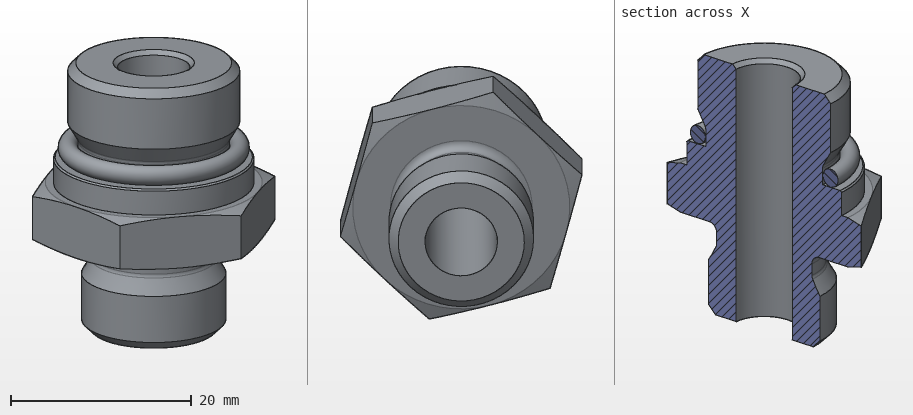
import cadquery as cq
import math

TOTAL_HEIGHT = 31.0
LOWER_CHAMFER_TOP = 1.02
LOWER_THREAD_TOP = 6.42
HEX_BOTTOM = 11.0
HEX_HEIGHT = 6.0
HEX_TOP = HEX_BOTTOM + HEX_HEIGHT
COLLAR_TOP = 20.0
UPPER_THREAD_BOTTOM = 24.18
UPPER_CHAMFER_HEIGHT = 0.93

LOWER_END_RADIUS = 6.98
LOWER_THREAD_RADIUS = 16.0 / 2
LOWER_NECK_RADIUS = 13.7 / 2
COLLAR_RADIUS = 22.2 / 2
SEAL_GROOVE_RADIUS = 16.77 / 2
UPPER_THREAD_RADIUS = 19.05 / 2
UPPER_END_RADIUS = 8.62

CONE_HALF_ANGLE = math.radians(30)
CONE_BLEND_RADIUS = 0.8

NECK_FILLET = 1.0
COLLAR_CHAMFER = 0.2

HEX_ACROSS_FLATS = 24.0
HEX_CORNER_RADIUS = HEX_ACROSS_FLATS / math.sqrt(3)
HEX_CHAMFER_ANGLE = 15.0
HEX_TURN = 30.0

BORE_RADIUS = 8.0 / 2
BORE_CHAMFER = 0.5

RING_SECTION_RADIUS = 2.2 / 2
RING_CENTRE_RADIUS = SEAL_GROOVE_RADIUS + RING_SECTION_RADIUS
RING_CENTRE_HEIGHT = COLLAR_TOP + RING_SECTION_RADIUS


def revolve_about_z(profile):
    """Revolve a closed (radius, height) profile drawn on the XZ plane."""
    return profile.revolve(360, (0, 0, 0), (0, 1, 0))


def cone_blend_points(thread_radius, neck_radius, thread_height, direction):
    """Start, middle and end of the blend arc, running from the cone to the neck.

    The cone leaves the thread at thread_height; direction is +1 when the neck is above
    the thread and -1 when it is below.
    """
    cone_height = (thread_radius - neck_radius) / math.tan(CONE_HALF_ANGLE)
    tangent_length = CONE_BLEND_RADIUS * math.tan(CONE_HALF_ANGLE / 2)
    arc_end_height = thread_height + direction * (cone_height + tangent_length)
    centre_radius = neck_radius + CONE_BLEND_RADIUS
    return [
        (
            centre_radius - CONE_BLEND_RADIUS * math.cos(angle),
            arc_end_height - direction * CONE_BLEND_RADIUS * math.sin(angle),
        )
        for angle in (CONE_HALF_ANGLE, CONE_HALF_ANGLE / 2, 0)
    ]


def make_lower_stud():
    blend_start, blend_middle, blend_end = cone_blend_points(
        LOWER_THREAD_RADIUS, LOWER_NECK_RADIUS, LOWER_THREAD_TOP, 1
    )
    fillet_start = HEX_BOTTOM - NECK_FILLET
    fillet_centre_radius = LOWER_NECK_RADIUS + NECK_FILLET
    arc_offset = NECK_FILLET * math.cos(math.radians(45))
    profile = (
        cq.Workplane("XZ")
        .moveTo(0, 0)
        .lineTo(LOWER_END_RADIUS, 0)
        .lineTo(LOWER_THREAD_RADIUS, LOWER_CHAMFER_TOP)
        .lineTo(LOWER_THREAD_RADIUS, LOWER_THREAD_TOP)
        .lineTo(*blend_start)
        .threePointArc(blend_middle, blend_end)
        .lineTo(LOWER_NECK_RADIUS, fillet_start)
        .threePointArc(
            (fillet_centre_radius - arc_offset, fillet_start + arc_offset),
            (fillet_centre_radius, HEX_BOTTOM),
        )
        .lineTo(0, HEX_BOTTOM)
        .close()
    )
    return revolve_about_z(profile)


def make_upper_stud():
    blend_start, blend_middle, blend_end = cone_blend_points(
        UPPER_THREAD_RADIUS, SEAL_GROOVE_RADIUS, UPPER_THREAD_BOTTOM, -1
    )
    profile = (
        cq.Workplane("XZ")
        .moveTo(0, HEX_TOP)
        .lineTo(COLLAR_RADIUS, HEX_TOP)
        .lineTo(COLLAR_RADIUS, COLLAR_TOP - COLLAR_CHAMFER)
        .lineTo(COLLAR_RADIUS - COLLAR_CHAMFER, COLLAR_TOP)
        .lineTo(SEAL_GROOVE_RADIUS, COLLAR_TOP)
        .lineTo(*blend_end)
        .threePointArc(blend_middle, blend_start)
        .lineTo(UPPER_THREAD_RADIUS, UPPER_THREAD_BOTTOM)
        .lineTo(UPPER_THREAD_RADIUS, TOTAL_HEIGHT - UPPER_CHAMFER_HEIGHT)
        .lineTo(UPPER_END_RADIUS, TOTAL_HEIGHT)
        .lineTo(0, TOTAL_HEIGHT)
        .close()
    )
    return revolve_about_z(profile)


def make_hexagon():
    """Hexagon with corners on the Y axis, both faces chamfered by a cone."""
    prism = (
        cq.Workplane("XY", origin=(0, 0, HEX_BOTTOM))
        .polygon(6, 2 * HEX_CORNER_RADIUS)
        .extrude(HEX_HEIGHT)
        .rotate((0, 0, 0), (0, 0, 1), HEX_TURN)
    )
    face_radius = HEX_ACROSS_FLATS / 2
    corner_drop = (HEX_CORNER_RADIUS - face_radius) * math.tan(math.radians(HEX_CHAMFER_ANGLE))
    envelope = revolve_about_z(
        cq.Workplane("XZ")
        .moveTo(0, HEX_BOTTOM)
        .lineTo(face_radius, HEX_BOTTOM)
        .lineTo(HEX_CORNER_RADIUS, HEX_BOTTOM + corner_drop)
        .lineTo(HEX_CORNER_RADIUS, HEX_TOP - corner_drop)
        .lineTo(face_radius, HEX_TOP)
        .lineTo(0, HEX_TOP)
        .close()
    )
    return prism.intersect(envelope)


def make_bore():
    """Cutting tool for the through bore and the chamfer at its upper mouth."""
    return revolve_about_z(
        cq.Workplane("XZ")
        .moveTo(0, 0)
        .lineTo(BORE_RADIUS, 0)
        .lineTo(BORE_RADIUS, TOTAL_HEIGHT - BORE_CHAMFER)
        .lineTo(BORE_RADIUS + BORE_CHAMFER, TOTAL_HEIGHT)
        .lineTo(0, TOTAL_HEIGHT)
        .close()
    )


def make_fitting():
    return make_lower_stud().union(make_hexagon()).union(make_upper_stud()).cut(make_bore())


def make_sealing_ring():
    return revolve_about_z(
        cq.Workplane("XZ")
        .moveTo(RING_CENTRE_RADIUS, RING_CENTRE_HEIGHT)
        .circle(RING_SECTION_RADIUS)
    )


fitting = make_fitting()
sealing_ring = make_sealing_ring()

result = cq.Compound.makeCompound([fitting.val(), sealing_ring.val()])